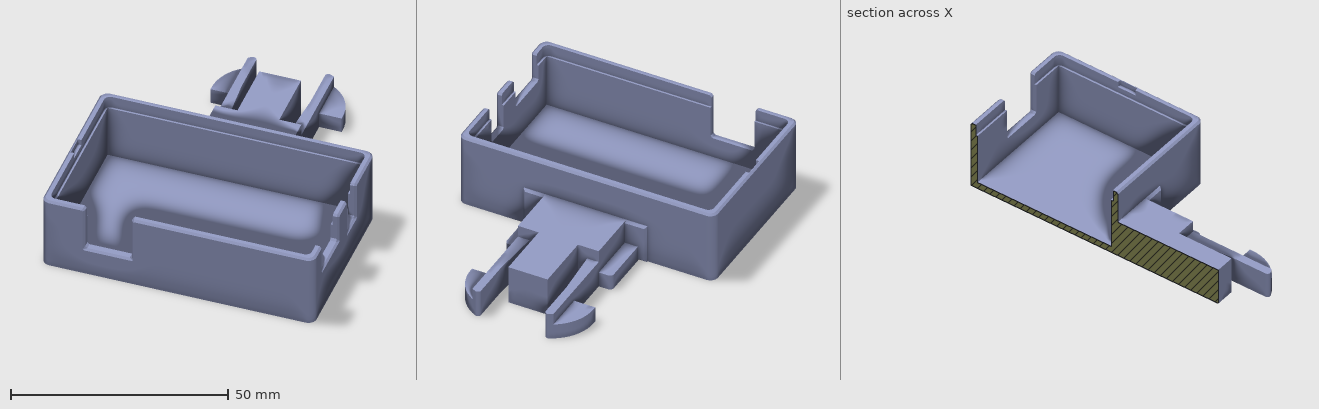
import cadquery as cq
import math

case_length = 66.5
case_depth = 42.2
case_height = 18.9
case_corner_radius = 2.0
wall = 2.0
floor_thickness = 1.9
edge_chamfer = 0.5

lid_step_wall = 1.5
lid_step_depth = 3.1
lid_step_corner_radius = 1.5

pry_notch_length = 5.0
pry_notch_wall = 0.65
pry_notch_depth = 1.5

front_slot_offset = 10.6
front_slot_width = 11.35
front_slot_sill = 7.25
side_slot_wide_offset = 6.0
side_slot_wide_width = 11.35
side_slot_wide_sill = 11.4
side_slot_narrow_offset = 23.3
side_slot_narrow_width = 6.0
side_slot_narrow_sill = 9.1

total_depth = 78.97
plug_length = total_depth - case_depth
plug_height = 10.1
flange_width = 32.0
flange_thickness = 0.8
block_width = 21.0
block_length = 13.7
wing_width = 27.8
wing_height = 4.0
wing_corner_radius = 1.0
tongue_width = 10.2
tongue_length = 28.75

arm_height = 7.0
arm_tip_inner = 8.4
arm_root_inner = 7.5
arm_tip_radius = 0.8
hook_height = 4.0
hook_length = 10.85
hook_side_flat = 0.86

overlap = 1.0

left = -case_length / 2
right = case_length / 2
rear = case_depth


def box(x_min, x_max, y_min, y_max, z_min, z_max):
    """Axis-aligned block given by its limits."""
    size = (x_max - x_min, y_max - y_min, z_max - z_min)
    return cq.Workplane("XY").box(*size, centered=False).translate((x_min, y_min, z_min))


def inset_block(inset, z_min, z_max):
    """Block inset by the same distance from all four outer case walls."""
    return box(left + inset, right - inset, inset, rear - inset, z_min, z_max)


def make_case():
    shell = inset_block(0, 0, case_height).edges("|Z").fillet(case_corner_radius)
    shell = shell.faces(">Z").edges().chamfer(edge_chamfer)
    cavity = inset_block(wall, floor_thickness, case_height + overlap)
    lid_step = inset_block(lid_step_wall, case_height - lid_step_depth, case_height + overlap)
    lid_step = lid_step.edges("|Z").fillet(lid_step_corner_radius)
    return shell.cut(cavity).cut(lid_step)


def make_pry_notch():
    middle = case_depth / 2
    return box(
        left + pry_notch_wall,
        left + wall,
        middle - pry_notch_length / 2,
        middle + pry_notch_length / 2,
        case_height - pry_notch_depth,
        case_height + overlap,
    )


def make_corner_gusset(x, sill, inward):
    """Material left in a lower slot corner: a 45-degree chamfer running out to a point on the outer face.

    Its profile lies in the plane that halves the corner: (depth into the wall, distance from the corner).
    """
    chamfer_reach = edge_chamfer / math.sqrt(2)
    flare_corner = -edge_chamfer * math.sqrt(2)
    halving_plane = cq.Plane(origin=(x, 0, sill), xDir=(0, 1, 0), normal=(1, 0, -inward))
    profile = [
        (wall + 2 * overlap, chamfer_reach),
        (edge_chamfer, chamfer_reach),
        (0, flare_corner),
        (wall + 2 * overlap, flare_corner),
    ]
    return cq.Workplane(halving_plane).polyline(profile).close().extrude(2 * edge_chamfer, both=True)


def make_slot_cutter(width, sill):
    """Slot through a wall lying on Y = 0, starting at X = 0, flared towards the outer face and the rim."""
    rim_flare_start = case_height - edge_chamfer
    above = edge_chamfer + overlap
    outline = [
        (0, sill),
        (width, sill),
        (width, rim_flare_start),
        (width + above, rim_flare_start + above),
        (-above, rim_flare_start + above),
        (0, rim_flare_start),
    ]
    inner_plane = cq.Workplane("XZ", origin=(0, wall + overlap, 0))
    passage = inner_plane.polyline(outline).close().extrude(wall + 2 * overlap)
    flare_plane = cq.Workplane("XZ", origin=(0, edge_chamfer, 0))
    flare = flare_plane.polyline(outline).close().extrude(2 * edge_chamfer, taper=-45)
    cutter = passage.union(flare)
    for x, inward in ((0, 1), (width, -1)):
        cutter = cutter.cut(make_corner_gusset(x, sill, inward))
    return cutter


def make_front_slot():
    cutter = make_slot_cutter(front_slot_width, front_slot_sill)
    return cutter.translate((left + front_slot_offset, 0, 0))


def make_side_slot(offset, width, sill):
    cutter = make_slot_cutter(width, sill)
    return cutter.rotate((0, 0, 0), (0, 0, 1), 90).translate((right, offset, 0))


def make_plug_body():
    def centred(width, length, height):
        return box(-width / 2, width / 2, rear - edge_chamfer, rear + length, 0, height)

    flange = centred(flange_width, flange_thickness, plug_height)
    flange = flange.faces(">Y").edges().chamfer(edge_chamfer)
    block = centred(block_width, block_length, plug_height)
    wings = centred(wing_width, block_length, wing_height)
    wings = wings.edges("|Z and >Y").fillet(wing_corner_radius)
    tongue = centred(tongue_width, tongue_length, plug_height)
    return flange.union(block).union(wings).union(tongue)


def make_right_arm():
    """Spring arm at +X: a tall tapered blade and a low hook sharing one rounded end."""
    hook_outer = flange_width / 2
    arm_outer = block_width / 2
    root = rear + block_length
    tip = rear + plug_length
    hook_base = tip - hook_length
    arc_start = hook_base + hook_side_flat

    tip_centre_x = arm_tip_inner + arm_tip_radius
    tip_centre_y = tip - arm_tip_radius
    run = hook_outer - tip_centre_x
    rise = tip_centre_y - arc_start
    hook_radius = (run**2 + rise**2 - arm_tip_radius**2) / (2 * (run - arm_tip_radius))
    arc_centre_x = hook_outer - hook_radius
    arc_end_angle = math.atan2(rise, tip_centre_x - arc_centre_x)

    def on_hook_arc(angle):
        return (
            arc_centre_x + hook_radius * math.cos(angle),
            arc_start + hook_radius * math.sin(angle),
        )

    outline = (
        cq.Workplane("XY")
        .moveTo(arm_root_inner, root - overlap)
        .lineTo(hook_outer, root - overlap)
        .lineTo(hook_outer, arc_start)
        .threePointArc(on_hook_arc(arc_end_angle / 2), on_hook_arc(arc_end_angle))
        .threePointArc((tip_centre_x, tip), (arm_tip_inner, tip_centre_y))
        .lineTo(arm_tip_inner, hook_base)
        .lineTo(arm_root_inner, root)
        .close()
    )
    blank = outline.extrude(arm_height)
    above_hook = box(arm_outer, hook_outer + overlap, root - 2 * overlap, tip, hook_height, arm_height)
    behind_hook = box(arm_outer, hook_outer + overlap, root - 2 * overlap, hook_base, 0, arm_height)
    return blank.cut(above_hook).cut(behind_hook)


result = make_case()
result = result.cut(make_pry_notch())
result = result.cut(make_front_slot())
result = result.cut(make_side_slot(side_slot_wide_offset, side_slot_wide_width, side_slot_wide_sill))
result = result.cut(make_side_slot(side_slot_narrow_offset, side_slot_narrow_width, side_slot_narrow_sill))

right_arm = make_right_arm()
result = result.union(make_plug_body()).union(right_arm).union(right_arm.mirror("YZ"))